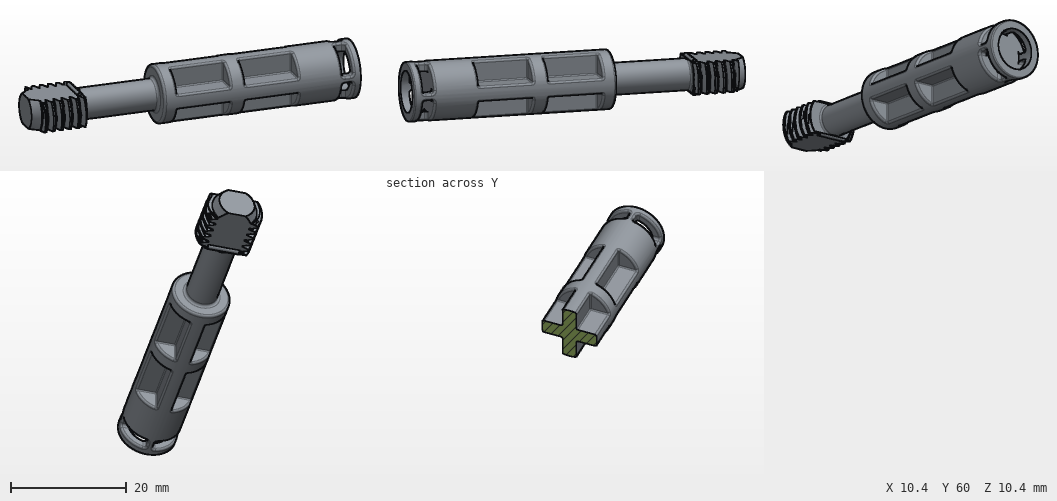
import cadquery as cq
import math


TOTAL_LENGTH = 60.0
HANDLE_LENGTH = 36.35
HEAD_START = 50.45
CONE_START = 58.4

HANDLE_RADIUS = 5.2
REAR_EDGE_RADIUS = 0.2
FRONT_EDGE_RADIUS = 0.45
EDGE_FILLET = 0.4

BORE_RADIUS = 3.65
WINDOW_START = 1.5
WINDOW_END = 3.5
STRUT_HALF_WIDTH = 0.6
WINDOW_CORNER_RADIUS = 0.5

POCKET_LENGTH = 9.75
POCKET_STARTS = (11.55, 24.1)
CORE_HALF_WIDTH = 1.35
POCKET_CORNER_RADIUS = 0.2

NECK_RADIUS = 2.8
NECK_REAR_FILLET = 0.5
NECK_FRONT_FILLET = 0.3

THREAD_RADIUS = 5.03
THREAD_ROOT_RADIUS = 4.03
THREAD_PITCH = 1.5
GROOVE_ROOT_WIDTH = 0.1
GROOVE_MOUTH_WIDTH = 1.15
CONE_BASE_RADIUS = 4.0
TIP_RADIUS = 3.15
FLAT_HALF_THICKNESS = 2.75

RIDGE_RADIUS = 0.5
RIDGE_HEIGHT = 0.42
RIDGE_CENTRE = HEAD_START + RIDGE_RADIUS
RIDGE_LENGTH = 2 * NECK_RADIUS

EDGE_TOLERANCE = 1e-3


def turned_body():
    """Solid of revolution: bored handle, neck, core of the head and tip cone."""
    arc_reach = 1 - math.sqrt(0.5)
    rear_base = NECK_RADIUS + NECK_REAR_FILLET
    neck_start = HANDLE_LENGTH + NECK_REAR_FILLET
    front_base = NECK_RADIUS + NECK_FRONT_FILLET
    neck_end = HEAD_START - NECK_FRONT_FILLET
    profile = (
        cq.Workplane("XZ")
        .moveTo(0, WINDOW_END)
        .lineTo(BORE_RADIUS, WINDOW_END)
        .lineTo(BORE_RADIUS, 0)
        .lineTo(HANDLE_RADIUS - REAR_EDGE_RADIUS, 0)
        .threePointArc(
            (HANDLE_RADIUS - REAR_EDGE_RADIUS * arc_reach, REAR_EDGE_RADIUS * arc_reach),
            (HANDLE_RADIUS, REAR_EDGE_RADIUS),
        )
        .lineTo(HANDLE_RADIUS, HANDLE_LENGTH - FRONT_EDGE_RADIUS)
        .threePointArc(
            (HANDLE_RADIUS - FRONT_EDGE_RADIUS * arc_reach, HANDLE_LENGTH - FRONT_EDGE_RADIUS * arc_reach),
            (HANDLE_RADIUS - FRONT_EDGE_RADIUS, HANDLE_LENGTH),
        )
        .lineTo(rear_base, HANDLE_LENGTH)
        .threePointArc(
            (NECK_RADIUS + NECK_REAR_FILLET * arc_reach, HANDLE_LENGTH + NECK_REAR_FILLET * arc_reach),
            (NECK_RADIUS, neck_start),
        )
        .lineTo(NECK_RADIUS, neck_end)
        .threePointArc(
            (NECK_RADIUS + NECK_FRONT_FILLET * arc_reach, HEAD_START - NECK_FRONT_FILLET * arc_reach),
            (front_base, HEAD_START),
        )
        .lineTo(front_base, CONE_START)
        .lineTo(CONE_BASE_RADIUS, CONE_START)
        .lineTo(TIP_RADIUS, TOTAL_LENGTH)
        .lineTo(0, TOTAL_LENGTH)
        .close()
    )
    return profile.revolve(360, (0, 0, 0), (0, 1, 0))


def quadrant_blocks(start, length, gap, corner_radius):
    """Four rounded blocks, one per quadrant, kept clear of the X and Y axes by the gap."""
    size = HANDLE_RADIUS + 2 * corner_radius
    offset = gap + size / 2
    return (
        cq.Workplane("XY", origin=(0, 0, start))
        .rect(2 * offset, 2 * offset, forConstruction=True)
        .vertices()
        .rect(size, size)
        .extrude(length)
        .edges()
        .fillet(corner_radius)
    )


def round_opening(body, start, length):
    """Round the rims that a row of quadrant cuts leaves on the handle surface."""
    rims = []
    for edge in body.edges().vals():
        box = edge.BoundingBox()
        in_row = box.zmin > start - EDGE_TOLERANCE and box.zmax < start + length + EDGE_TOLERANCE
        on_surface = all(
            abs(math.hypot(edge.positionAt(t).x, edge.positionAt(t).y) - HANDLE_RADIUS) < EDGE_TOLERANCE
            for t in (0, 0.5, 1)
        )
        if in_row and on_surface:
            rims.append(edge)
    return body.newObject(rims).fillet(EDGE_FILLET)


def cut_quadrants(body, start, length, gap, corner_radius):
    """Cut one row of four quadrant blocks and round the rims of its openings."""
    body = body.cut(quadrant_blocks(start, length, gap, corner_radius))
    return round_opening(body, start, length)


def polar(radius, angle):
    return (radius * math.cos(angle), radius * math.sin(angle))


def thread():
    """Right-handed threaded rod, made by twisting its cross-section along the axis."""
    length = CONE_START - HEAD_START
    mid_radius = (THREAD_RADIUS + THREAD_ROOT_RADIUS) / 2
    root_angle = math.pi * (1 - GROOVE_ROOT_WIDTH / THREAD_PITCH)
    mouth_angle = math.pi * (1 - GROOVE_MOUTH_WIDTH / THREAD_PITCH)
    mid_angle = (root_angle + mouth_angle) / 2
    section = (
        cq.Workplane("XY", origin=(0, 0, HEAD_START))
        .moveTo(*polar(THREAD_RADIUS, -mouth_angle))
        .threePointArc((THREAD_RADIUS, 0), polar(THREAD_RADIUS, mouth_angle))
        .threePointArc(polar(mid_radius, mid_angle), polar(THREAD_ROOT_RADIUS, root_angle))
        .threePointArc((-THREAD_ROOT_RADIUS, 0), polar(THREAD_ROOT_RADIUS, -root_angle))
        .threePointArc(polar(mid_radius, -mid_angle), polar(THREAD_RADIUS, -mouth_angle))
        .close()
    )
    return section.twistExtrude(length, 360 * length / THREAD_PITCH)


def cut_flats(body):
    """Flatten the head on both sides, from the neck fillet to the tip."""
    start = HEAD_START - NECK_FRONT_FILLET
    length = TOTAL_LENGTH - start
    for side in (-1, 1):
        block = (
            cq.Workplane("XY", origin=(0, side * (FLAT_HALF_THICKNESS + HANDLE_RADIUS / 2), start))
            .rect(2 * HANDLE_RADIUS, HANDLE_RADIUS)
            .extrude(length)
        )
        body = body.cut(block)
    return body


def add_ridges(body):
    """Add a rounded rib across the rear of each flat."""
    height = FLAT_HALF_THICKNESS + RIDGE_HEIGHT - RIDGE_RADIUS
    for side in (-1, 1):
        rib = (
            cq.Workplane("YZ", origin=(-RIDGE_LENGTH / 2, 0, 0))
            .center(side * height, RIDGE_CENTRE)
            .circle(RIDGE_RADIUS)
            .extrude(RIDGE_LENGTH)
        )
        body = body.union(rib)
    return body


part = turned_body()
part = cut_quadrants(part, WINDOW_START, WINDOW_END - WINDOW_START, STRUT_HALF_WIDTH, WINDOW_CORNER_RADIUS)
for pocket_start in POCKET_STARTS:
    part = cut_quadrants(part, pocket_start, POCKET_LENGTH, CORE_HALF_WIDTH, POCKET_CORNER_RADIUS)
part = part.union(thread())
part = cut_flats(part)
part = add_ridges(part)

result = part.rotate((0, 0, 0), (1, 0, 0), 90)